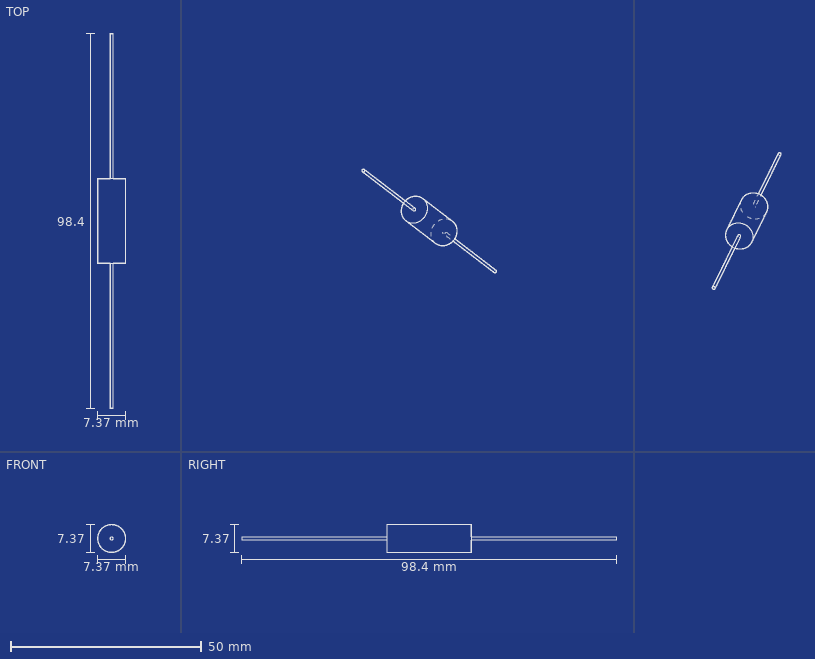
import cadquery as cq

body_diameter = 7.37
body_length = 22.22
lead_diameter = 0.81
lead_length = 38.1

overall_length = body_length + 2 * lead_length


def cylinder_along_y(diameter, length):
    """Solid cylinder on the Y axis, centred on the origin."""
    end_plane = cq.Workplane("XZ").workplane(offset=-length / 2)
    return end_plane.circle(diameter / 2).extrude(length)


body = cylinder_along_y(body_diameter, body_length)

leads = cylinder_along_y(lead_diameter, overall_length)

result = body.union(leads)